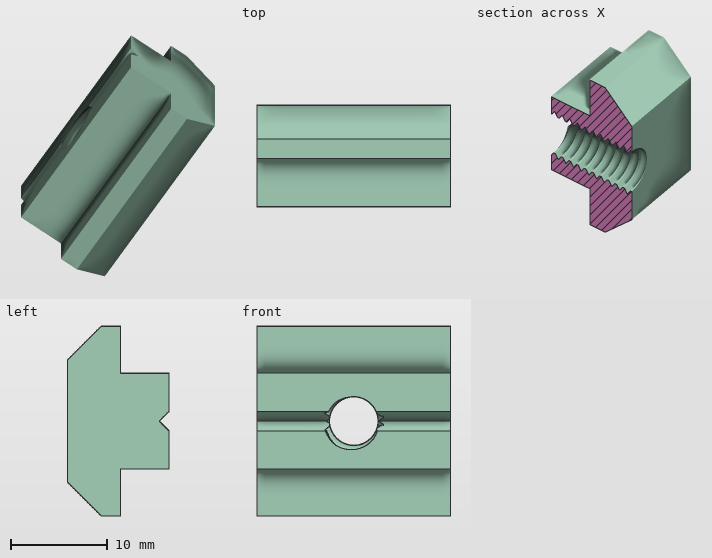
import cadquery as cq
import math

length = 20.0
flange_height = 19.6
neck_height = 9.9
neck_depth = 5.0
flange_depth = 5.5
flange_chamfer = 3.5
marking_groove_depth = 1.0

thread_pitch = 1.0
minor_radius = 2.5
major_radius = 3.1
thread_width = 0.76
thread_start = 0.15
core_overlap = 0.1
thread_overrun = 2

overall_depth = neck_depth + flange_depth


def make_body():
    """Extrude the symmetric T profile, with its neck face on the XZ plane."""
    upper_half = [
        (marking_groove_depth, 0),
        (0, marking_groove_depth),
        (0, neck_height / 2),
        (neck_depth, neck_height / 2),
        (neck_depth, flange_height / 2),
        (overall_depth - flange_chamfer, flange_height / 2),
        (overall_depth, flange_height / 2 - flange_chamfer),
    ]
    lower_half = [(y, -z) for y, z in reversed(upper_half[1:])]
    profile = cq.Workplane("YZ").polyline(upper_half + lower_half).close()
    return profile.extrude(length / 2, both=True)


def make_core():
    """Drilled core of the threaded hole."""
    return cq.Workplane("XZ").circle(minor_radius).extrude(-overall_depth)


def make_thread_cutter():
    """Sweep the V-shaped thread form along a helix about Z, then lay it along Y."""
    turns = math.ceil(overall_depth / thread_pitch) + 2 * thread_overrun
    helix = cq.Wire.makeHelix(thread_pitch, turns * thread_pitch, minor_radius)
    inner_radius = minor_radius - core_overlap
    half_width = thread_width / 2 * (major_radius - inner_radius) / (major_radius - minor_radius)
    form = cq.Workplane("XZ").polyline([
        (inner_radius, -half_width),
        (major_radius, 0),
        (inner_radius, half_width),
    ]).close()
    cutter = form.sweep(cq.Workplane(obj=helix), isFrenet=True)
    start_depth = thread_start - thread_overrun * thread_pitch
    return (
        cutter
        .rotate((0, 0, 0), (0, 0, 1), 180)
        .rotate((0, 0, 0), (1, 0, 0), -90)
        .translate((0, start_depth, 0))
    )


result = make_body().cut(make_thread_cutter()).cut(make_core())